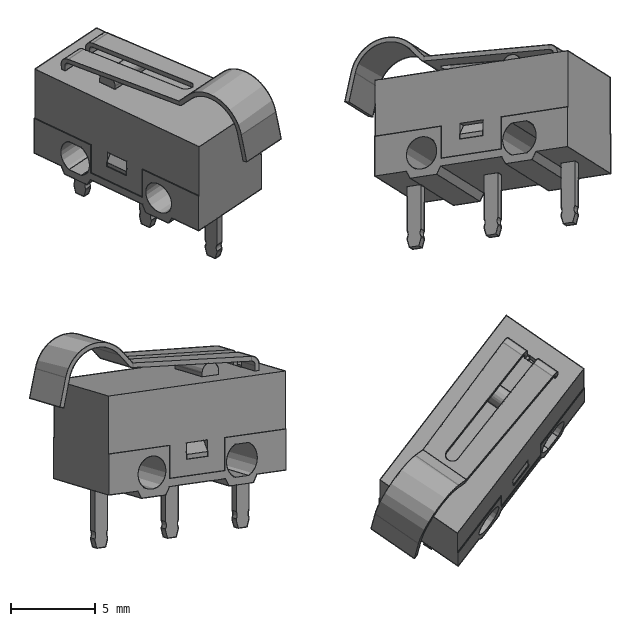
import cadquery as cq
import math

OVERALL_LENGTH = 15.37

BODY_LENGTH = 12.74
BODY_HEIGHT = 6.0
BASE_WIDTH = 5.8
COVER_WIDTH = 5.69
BASE_HEIGHT = 2.49
MID_X = BODY_LENGTH / 2

TONGUE_WIDTH = 3.98
TONGUE_BOTTOM = 0.49
WINDOW_WIDTH = 1.5
WINDOW_BOTTOM = 1.5
CATCH_EDGE_HEIGHT = 0.29
WINDOW_DEPTH = 0.46

HOLE_DIAMETER = 2.0
HOLE_Z = HOLE_DIAMETER / 2
ROUND_HOLE_OFFSET = 3.27
SLOT_HOLE_OFFSET = 3.2
ROUND_HOLE_X = MID_X + ROUND_HOLE_OFFSET
SLOT_HOLE_X = MID_X - SLOT_HOLE_OFFSET
SLOT_HOLE_LENGTH = 2.21
FOOT_SPACING = 6.3
FOOT_DEPTH = 0.48
FOOT_TOP_WIDTH = 2.27
FOOT_BOTTOM_WIDTH = 1.75

PIN_PITCH = 5.09
PIN_WIDTH = 0.92
PIN_THICKNESS = 0.46
PIN_BOTTOM = -3.8
PIN_TIP_WIDTH = 0.63
PIN_TAPER_HEIGHT = 0.49
PIN_WAIST_TOP = -2.77
PIN_WAIST_BOTTOM = -3.21
PIN_WAIST_DEPTH = 0.06
PIN_ROOT = 0.15

PLUNGER_X = 4.43
PLUNGER_DIAMETER = 1.18
PLUNGER_LENGTH = 2.85
PLUNGER_TOP = 6.81
PLUNGER_ROOT = 0.15

LEVER_THICKNESS = 0.29
LEVER_ANGLE = math.radians(3.8)
LEVER_BEND_RADIUS = 0.58
LEVER_START_X = 1.74
LEVER_START_Z = 6.92
LEVER_ROOT = 0.15
CURL_RADIUS = 2.4
CURL_X = 12.62
CURL_TOP = 9.0
RAMP_ANGLE = math.radians(46.0)
TIP_ANGLE = math.radians(76.6)
LEVER_WIDE = 3.66
LEVER_NARROW = 3.18
LEVER_SLOT_WIDTH = 0.81
LEVER_SLOT_END = 9.75

POCKET_LEFT = 1.23
POCKET_RIGHT = 1.52
POCKET_DEPTH = 0.3
POCKET_STEP_WIDTH = 0.43
POCKET_STEP_DEPTH = 0.3


def extrude_across(outline, width):
    """Extrude a closed XZ outline by the given width, centred on Y = 0."""
    return outline.extrude(width / 2, both=True)


def box(x_min, x_max, width, z_min, z_max):
    """Box centred on Y = 0."""
    outline = cq.Workplane("XZ").moveTo(x_min, z_min).lineTo(x_max, z_min).lineTo(x_max, z_max)
    return extrude_across(outline.lineTo(x_min, z_max).close(), width)


def make_catch_window():
    """Window cut in the front tongue, refilled by a wedge flush with the base."""
    surface_y = -COVER_WIDTH / 2
    opening = (
        cq.Workplane("XY", origin=(MID_X, surface_y + WINDOW_DEPTH / 2, WINDOW_BOTTOM))
        .box(WINDOW_WIDTH, WINDOW_DEPTH, BASE_HEIGHT - WINDOW_BOTTOM, centered=(True, True, False))
    )
    catch = (
        cq.Workplane("YZ", origin=(MID_X, 0, 0))
        .moveTo(surface_y + WINDOW_DEPTH, BASE_HEIGHT)
        .lineTo(surface_y + WINDOW_DEPTH, WINDOW_BOTTOM)
        .lineTo(-BASE_WIDTH / 2, WINDOW_BOTTOM)
        .lineTo(-BASE_WIDTH / 2, WINDOW_BOTTOM + CATCH_EDGE_HEIGHT)
        .close()
        .extrude(WINDOW_WIDTH / 2, both=True)
    )
    return opening, catch


def make_foot(x):
    foot = (
        cq.Workplane("XZ")
        .moveTo(x - FOOT_TOP_WIDTH / 2, 0)
        .lineTo(x - FOOT_BOTTOM_WIDTH / 2, -FOOT_DEPTH)
        .lineTo(x + FOOT_BOTTOM_WIDTH / 2, -FOOT_DEPTH)
        .lineTo(x + FOOT_TOP_WIDTH / 2, 0)
        .close()
    )
    return extrude_across(foot, BASE_WIDTH)


def make_slot_hole():
    """Widened hole: a larger circle flattened at top and bottom to the round hole's height."""
    circle = cq.Workplane("XZ").center(SLOT_HOLE_X, HOLE_Z).circle(SLOT_HOLE_LENGTH / 2)
    half_length = SLOT_HOLE_LENGTH / 2
    band = box(SLOT_HOLE_X - half_length, SLOT_HOLE_X + half_length, BASE_WIDTH, 0, HOLE_DIAMETER)
    return extrude_across(circle, BASE_WIDTH).intersect(band)


def make_body():
    body = box(0, BODY_LENGTH, COVER_WIDTH, 0, BODY_HEIGHT)
    base = box(0, BODY_LENGTH, BASE_WIDTH, 0, BASE_HEIGHT)
    tongue_left = MID_X - TONGUE_WIDTH / 2
    tongue_right = MID_X + TONGUE_WIDTH / 2
    base = base.cut(box(tongue_left, tongue_right, BASE_WIDTH, TONGUE_BOTTOM, BASE_HEIGHT))
    body = body.union(base)
    for side in (-1, 1):
        body = body.union(make_foot(MID_X + side * FOOT_SPACING / 2))

    opening, catch = make_catch_window()
    body = body.cut(opening).cut(opening.mirror("XZ"))
    body = body.union(catch).union(catch.mirror("XZ"))

    round_hole = cq.Workplane("XZ").center(ROUND_HOLE_X, HOLE_Z).circle(HOLE_DIAMETER / 2)
    return body.cut(extrude_across(round_hole, BASE_WIDTH)).cut(make_slot_hole())


def make_pocket():
    """Pocket as wide as the lever slot, with a narrower deeper channel along its middle."""
    ledge = BODY_HEIGHT - POCKET_DEPTH
    upper = box(POCKET_LEFT, POCKET_RIGHT, LEVER_SLOT_WIDTH, ledge, BODY_HEIGHT)
    lower = box(POCKET_LEFT, POCKET_RIGHT, POCKET_STEP_WIDTH, ledge - POCKET_STEP_DEPTH, ledge)
    return upper.union(lower)


def make_pin(x):
    """Flat pin with a shallow rounded waist above its tapered tip."""
    half = PIN_WIDTH / 2
    waist_half = half - PIN_WAIST_DEPTH
    waist_mid = (PIN_WAIST_TOP + PIN_WAIST_BOTTOM) / 2
    taper_top = PIN_BOTTOM + PIN_TAPER_HEIGHT
    outline = (
        cq.Workplane("XZ", origin=(x, 0, 0))
        .moveTo(-half, PIN_ROOT)
        .lineTo(-half, PIN_WAIST_TOP)
        .threePointArc((-waist_half, waist_mid), (-half, PIN_WAIST_BOTTOM))
        .lineTo(-half, taper_top)
        .lineTo(-PIN_TIP_WIDTH / 2, PIN_BOTTOM)
        .lineTo(PIN_TIP_WIDTH / 2, PIN_BOTTOM)
        .lineTo(half, taper_top)
        .lineTo(half, PIN_WAIST_BOTTOM)
        .threePointArc((waist_half, waist_mid), (half, PIN_WAIST_TOP))
        .lineTo(half, PIN_ROOT)
        .close()
    )
    return extrude_across(outline, PIN_THICKNESS)


def make_plunger():
    radius = PLUNGER_DIAMETER / 2
    shoulder = PLUNGER_TOP - radius
    bottom = BODY_HEIGHT - PLUNGER_ROOT
    outline = (
        cq.Workplane("XZ", origin=(PLUNGER_X, 0, 0))
        .moveTo(-radius, bottom)
        .lineTo(radius, bottom)
        .lineTo(radius, shoulder)
        .threePointArc((0, PLUNGER_TOP), (-radius, shoulder))
        .close()
    )
    return extrude_across(outline, PLUNGER_LENGTH)


def polar(center, radius, angle):
    """Point at the given radius and angle (from +X toward +Z) about a centre."""
    return (center[0] + radius * math.cos(angle), center[1] + radius * math.sin(angle))


def make_lever_strip():
    """Side profile of the bent strip, extruded to its widest width."""
    up = math.pi / 2
    bend_top = LEVER_ANGLE + up
    bend_side = LEVER_ANGLE + math.pi
    bend_middle = (bend_top + bend_side) / 2
    bend_inner_radius = LEVER_BEND_RADIUS - LEVER_THICKNESS
    bend_center = polar((LEVER_START_X, LEVER_START_Z), -LEVER_BEND_RADIUS, bend_top)

    leg_outer_top = polar(bend_center, LEVER_BEND_RADIUS, bend_side)
    leg_length = leg_outer_top[1] - (BODY_HEIGHT - LEVER_ROOT)
    leg_outer_bottom = polar(leg_outer_top, -leg_length, bend_top)
    leg_inner_bottom = polar(leg_outer_bottom, LEVER_THICKNESS, LEVER_ANGLE)

    curl_center = (CURL_X, CURL_TOP - CURL_RADIUS)
    curl_inner_radius = CURL_RADIUS - LEVER_THICKNESS
    curl_start = RAMP_ANGLE + up
    curl_end = up - TIP_ANGLE
    ramp_top = polar(curl_center, CURL_RADIUS, curl_start)

    arm_slope = math.tan(LEVER_ANGLE)
    ramp_slope = math.tan(RAMP_ANGLE)
    rise = LEVER_START_Z - ramp_top[1] + arm_slope * (ramp_top[0] - LEVER_START_X)
    crease_x = ramp_top[0] + rise / (ramp_slope - arm_slope)
    crease = (crease_x, LEVER_START_Z + arm_slope * (crease_x - LEVER_START_X))
    crease_middle = (LEVER_ANGLE + RAMP_ANGLE) / 2 - up

    tip_start = polar(curl_center, CURL_RADIUS, curl_end)
    tip_length = (OVERALL_LENGTH - tip_start[0]) / math.cos(TIP_ANGLE)
    tip_outer = polar(tip_start, tip_length, -TIP_ANGLE)
    tip_inner = polar(tip_outer, -LEVER_THICKNESS, curl_end)

    outline = (
        cq.Workplane("XZ")
        .moveTo(*leg_outer_bottom)
        .lineTo(*leg_outer_top)
        .threePointArc(
            polar(bend_center, LEVER_BEND_RADIUS, bend_middle),
            polar(bend_center, LEVER_BEND_RADIUS, bend_top),
        )
        .lineTo(*crease)
        .lineTo(*ramp_top)
        .threePointArc((CURL_X, CURL_TOP), tip_start)
        .lineTo(*tip_outer)
        .lineTo(*tip_inner)
        .lineTo(*polar(curl_center, curl_inner_radius, curl_end))
        .threePointArc(
            (CURL_X, CURL_TOP - LEVER_THICKNESS),
            polar(curl_center, curl_inner_radius, curl_start),
        )
        .lineTo(*polar(crease, LEVER_THICKNESS, RAMP_ANGLE - up))
        .threePointArc(
            polar(crease, LEVER_THICKNESS, crease_middle),
            polar(crease, LEVER_THICKNESS, LEVER_ANGLE - up),
        )
        .lineTo(*polar(bend_center, bend_inner_radius, bend_top))
        .threePointArc(
            polar(bend_center, bend_inner_radius, bend_middle),
            polar(bend_center, bend_inner_radius, bend_side),
        )
        .lineTo(*leg_inner_bottom)
        .close()
    )
    return extrude_across(outline, LEVER_WIDE), crease_x


def make_lever():
    """Strip tapered in plan and slotted along its middle, which parts it into two legs."""
    strip, crease_x = make_lever_strip()
    wide_half = LEVER_WIDE / 2
    narrow_half = LEVER_NARROW / 2
    plan = (
        cq.Workplane("XY")
        .moveTo(0, -wide_half)
        .lineTo(LEVER_START_X, -wide_half)
        .lineTo(crease_x, -narrow_half)
        .lineTo(OVERALL_LENGTH, -narrow_half)
        .lineTo(OVERALL_LENGTH, narrow_half)
        .lineTo(crease_x, narrow_half)
        .lineTo(LEVER_START_X, wide_half)
        .lineTo(0, wide_half)
        .close()
        .extrude(CURL_TOP)
    )
    slot_radius = LEVER_SLOT_WIDTH / 2
    slot_straight_end = LEVER_SLOT_END - slot_radius
    slot = (
        cq.Workplane("XY")
        .moveTo(0, -slot_radius)
        .lineTo(slot_straight_end, -slot_radius)
        .threePointArc((LEVER_SLOT_END, 0), (slot_straight_end, slot_radius))
        .lineTo(0, slot_radius)
        .close()
        .extrude(CURL_TOP)
    )
    return strip.intersect(plan).cut(slot)


result = make_body().cut(make_pocket()).union(make_plunger()).union(make_lever())
for pin_index in (-1, 0, 1):
    result = result.union(make_pin(MID_X + pin_index * PIN_PITCH))